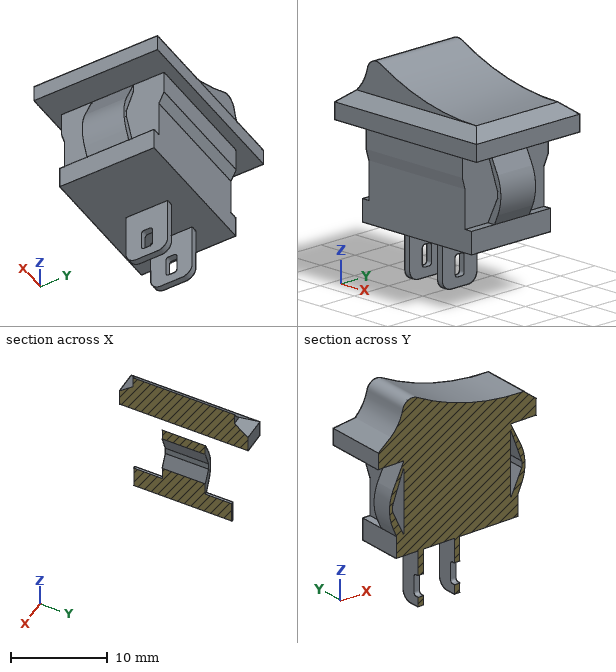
import cadquery as cq
import math


bezel_length = 20.82
bezel_width = 15.0
rim_height = 1.95
slope_height = 1.3
slope_run_x = 1.63
slope_run_y = 1.58

rocker_length = bezel_length - 2 * slope_run_x
rocker_width = bezel_width - 2 * slope_run_y
rocker_base_z = rim_height + slope_height
dish_radius = 29.6
dish_run = 14.08
nose_drop_x = 1.92
nose_bottom_height = 2.7
flank_bulge = 0.25

body_length = 14.15
body_depth = 10.9
body_top_half_width = 6.24
body_front_half_width = 5.85
body_back_half_width = 5.6
taper_start = 2.72
taper_end = 4.03
base_length = 16.05
base_height = 2.55
base_top_z = base_height - body_depth

clip_width = 5.05
clip_arc_top = -2.94
clip_arc_bottom = -7.28
clip_arc_x = 8.5
clip_crest_x = 8.95
clip_root_thickness = 0.9
clip_inner_x = 8.47
clip_inner_top = -4.65
clip_inner_bottom = -5.41

terminal_thickness = 0.73
terminal_width = clip_width
terminal_length = 6.4
terminal_corner_radius = 1.25
terminal_positions = (-4.8, 0.0)
slot_width = 1.3
slot_height = 2.48
slot_corner_radius = 0.35
slot_drop = 4.05


def extruded_along_y(profile, width):
    """Extrude an XZ profile by width, centred on Y = 0."""
    return profile.extrude(width / 2, both=True)


def make_bezel():
    rim = cq.Workplane("XY").rect(bezel_length, bezel_width).extrude(rim_height)
    border = (
        cq.Workplane("XY", origin=(0, 0, rim_height))
        .rect(bezel_length, bezel_width)
        .workplane(offset=slope_height)
        .rect(rocker_length, rocker_width)
        .loft(ruled=True)
    )
    return rim.union(border)


def make_rocker():
    def dish_point(run):
        height = dish_radius - math.sqrt(dish_radius**2 - run**2)
        return (rocker_length / 2 - run, rocker_base_z + height)

    right_end = dish_point(0)
    nose_top = dish_point(dish_run)
    nose_bottom = (nose_top[0] - nose_drop_x, rocker_base_z + nose_bottom_height)
    left_end = (-rocker_length / 2, rocker_base_z)
    profile = (
        cq.Workplane("XZ")
        .moveTo(*right_end)
        .threePointArc(dish_point(dish_run / 2), nose_top)
        .tangentArcPoint(nose_bottom, relative=False)
        .sagittaArc(left_end, flank_bulge)
        .lineTo(-rocker_length / 2, rim_height)
        .lineTo(rocker_length / 2, rim_height)
        .close()
    )
    return extruded_along_y(profile, rocker_width)


def make_body():
    section = (
        cq.Workplane("YZ")
        .moveTo(-body_top_half_width, 0)
        .lineTo(-body_top_half_width, -taper_start)
        .lineTo(-body_front_half_width, -taper_end)
        .lineTo(-body_front_half_width, -body_depth)
        .lineTo(body_back_half_width, -body_depth)
        .lineTo(body_back_half_width, -taper_end)
        .lineTo(body_top_half_width, -taper_start)
        .lineTo(body_top_half_width, 0)
        .close()
    )
    housing = section.extrude(body_length / 2, both=True)
    base = (
        cq.Workplane("XY", origin=(0, 0, -body_depth))
        .moveTo(0, (body_back_half_width - body_front_half_width) / 2)
        .rect(base_length, body_back_half_width + body_front_half_width)
        .extrude(base_height)
    )
    return housing.union(base)


def make_clip():
    """The bowed clip at the +X end of the body."""
    wall_x = body_length / 2
    profile = (
        cq.Workplane("XZ")
        .moveTo(wall_x, 0)
        .lineTo(clip_arc_x, clip_arc_top)
        .threePointArc(
            (clip_crest_x, (clip_arc_top + clip_arc_bottom) / 2),
            (clip_arc_x, clip_arc_bottom),
        )
        .lineTo(base_length / 2, base_top_z)
        .lineTo(wall_x, base_top_z)
        .lineTo(clip_inner_x, clip_inner_bottom)
        .lineTo(clip_inner_x, clip_inner_top)
        .lineTo(wall_x, -clip_root_thickness)
        .close()
    )
    return extruded_along_y(profile, clip_width)


def make_terminal(x):
    """A flat solder tab hanging from the body at the given X."""
    blade = (
        cq.Workplane("XY", origin=(x, 0, -body_depth - terminal_length))
        .rect(terminal_thickness, terminal_width)
        .extrude(terminal_length)
        .edges("|X and <Z")
        .fillet(terminal_corner_radius)
    )
    slot = (
        cq.Workplane("XY", origin=(x, 0, -body_depth - slot_drop))
        .box(2 * terminal_thickness, slot_width, slot_height)
        .edges("|X")
        .fillet(slot_corner_radius)
    )
    return blade.cut(slot)


clip = make_clip()
result = make_bezel().union(make_rocker()).union(make_body())
result = result.union(clip).union(clip.mirror("YZ"))
for terminal_x in terminal_positions:
    result = result.union(make_terminal(terminal_x))